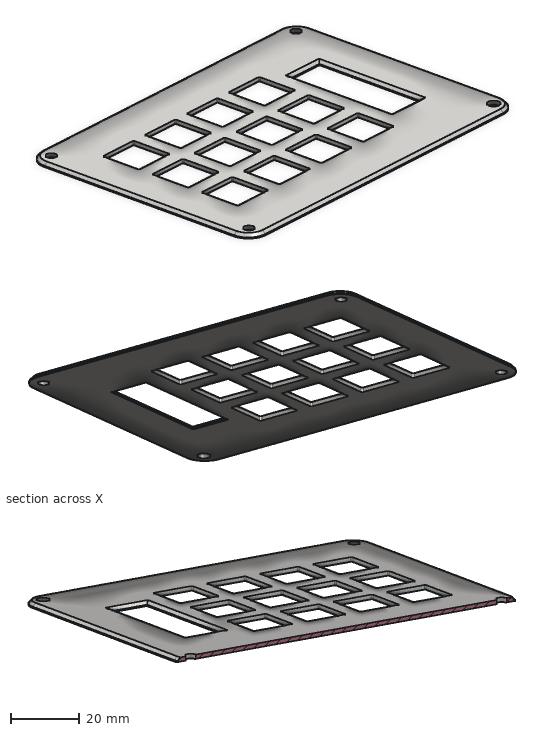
import cadquery as cq

plate_width = 86.0
plate_length = 121.0
plate_thickness = 1.5
corner_radius = 6.5
bevel = 1.03

hole_inset = 5.0
hole_diameter = 3.4
large_hole_diameter = 4.0

window_width = 38.8
window_height = 13.0
window_x = -0.4
window_y = 38.1

key_columns = 3
key_rows = 4
key_size = 13.9
key_pitch = 19.0
key_corner_radius = 0.5
key_grid_x = -0.2
key_grid_y = -10.6


def make_plate():
    """Rounded plate, bevelled around its upper edge."""
    plate = cq.Workplane("XY").box(plate_width, plate_length, plate_thickness, centered=(True, True, False))
    return plate.edges("|Z").fillet(corner_radius).faces(">Z").chamfer(bevel)


def make_screw_holes():
    """Through holes in the four corners; the one at +X, +Y is larger."""
    hole_x = plate_width / 2 - hole_inset
    hole_y = plate_length / 2 - hole_inset
    small_centers = [(-hole_x, -hole_y), (hole_x, -hole_y), (-hole_x, hole_y)]
    small_holes = cq.Workplane("XY").pushPoints(small_centers).circle(hole_diameter / 2)
    large_hole = cq.Workplane("XY").center(hole_x, hole_y).circle(large_hole_diameter / 2)
    return small_holes.extrude(plate_thickness).union(large_hole.extrude(plate_thickness))


def make_window():
    """Rectangular through opening that flares outward at the top face."""
    opening = (
        cq.Workplane("XY")
        .center(window_x, window_y)
        .rect(window_width, window_height)
        .extrude(plate_thickness)
    )
    flare = (
        cq.Workplane("XY", origin=(window_x, window_y, plate_thickness - bevel))
        .rect(window_width, window_height)
        .workplane(offset=bevel)
        .rect(window_width + 2 * bevel, window_height + 2 * bevel)
        .loft(ruled=True)
    )
    return opening.union(flare)


def make_key_openings():
    """Grid of square through openings with slightly rounded corners."""
    return (
        cq.Workplane("XY")
        .center(key_grid_x, key_grid_y)
        .rarray(key_pitch, key_pitch, key_columns, key_rows)
        .rect(key_size, key_size)
        .extrude(plate_thickness)
        .edges("|Z")
        .fillet(key_corner_radius)
    )


result = make_plate().cut(make_screw_holes()).cut(make_window()).cut(make_key_openings())